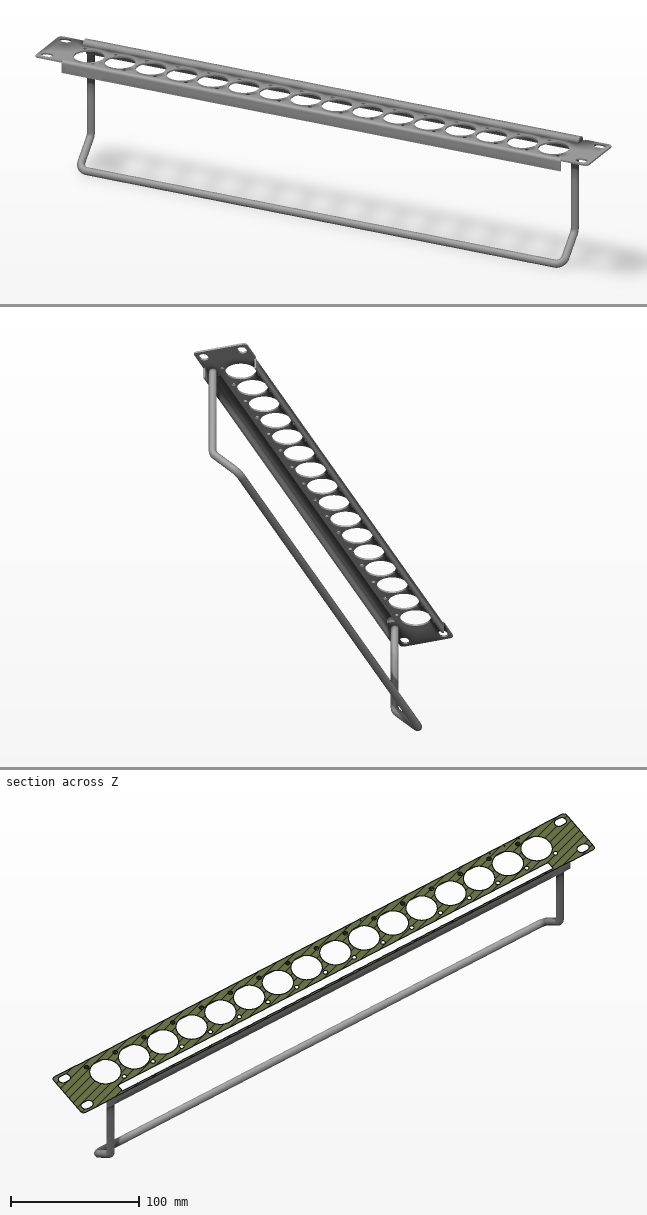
import cadquery as cq
import math

panel_length = 482.5
panel_width = 44.0
sheet = 1.5
corner_radius = 3.0

flange_length = 435.5
flange_depth = 10.0
bend_radius = 2.5

slot_length = 9.5
slot_height = 6.8
slot_spacing_x = 466.0
slot_spacing_y = 32.0

opening_count = 16
opening_pitch = 27.0
opening_diameter = 24
opening_y = -4.0
screw_diameter = 3.2
screw_offset_x = 9.5
screw_offset_y = 12.0

bead_length = 432.5
bead_radius = 4.5
bead_wall = 1.0
solid_end = 14.0

bar_diameter = 6.5
bar_span = 422.5
bar_drop = 101.0
bar_reach = 21.0
bar_bend_radius = 6.8
lean_angle = math.radians(45)

bar_y = 16.5


def make_panel():
    """Flat sheet with rounded corners."""
    return (
        cq.Workplane("XY")
        .rect(panel_length, panel_width)
        .extrude(-sheet)
        .edges("|Z")
        .fillet(corner_radius)
    )


def channel_block(inset, radius):
    """Block with rounded upper edges, set in from the panel's top and sides by the inset."""
    depth = 2 * flange_depth
    return (
        cq.Workplane("YZ")
        .center(0, -inset - depth / 2)
        .rect(panel_width - 2 * inset, depth)
        .extrude(flange_length / 2, both=True)
        .edges("|X and >Z")
        .fillet(radius)
    )


def fold_flanges(panel):
    """Replace the panel's middle stretch by a channel with rounded bends."""
    outer = channel_block(0, bend_radius)
    inner = channel_block(sheet, bend_radius - sheet)
    kept = cq.Workplane("XY").box(panel_length, panel_width, 2 * flange_depth)
    middle = cq.Workplane("XY").box(flange_length, panel_width, 2 * flange_depth)
    return panel.cut(middle).union(outer.cut(inner).intersect(kept))


def half_round(radius, length):
    """Half cylinder standing on the panel's top face, running along X."""
    return (
        cq.Workplane("YZ", origin=(0, bar_y, 0))
        .moveTo(-radius, 0)
        .threePointArc((0, radius), (radius, 0))
        .close()
        .extrude(length / 2, both=True)
    )


def add_bead(part):
    """Half-round bead over the legs, its middle hollowed out through the panel below it."""
    hollow_length = bead_length - 2 * solid_end
    hollow_radius = bead_radius - bead_wall
    hollow = half_round(hollow_radius, hollow_length)
    slot = (
        cq.Workplane("XY")
        .center(0, bar_y)
        .rect(hollow_length, 2 * hollow_radius)
        .extrude(-sheet)
    )
    return part.union(half_round(bead_radius, bead_length)).cut(hollow.union(slot))


def bent_path(corners, radius):
    """Polyline through the corners, each inner corner rounded by a tangent arc."""
    edges = []
    start = corners[0]
    for before, corner, after in zip(corners, corners[1:], corners[2:]):
        back = (before - corner).normalized()
        ahead = (after - corner).normalized()
        half_angle = back.getAngle(ahead) / 2
        setback = radius / math.tan(half_angle)
        arc_start = corner + back * setback
        arc_end = corner + ahead * setback
        bisector = (back + ahead).normalized()
        arc_middle = corner + bisector * (radius / math.sin(half_angle) - radius)
        edges.append(cq.Edge.makeLine(start, arc_start))
        edges.append(cq.Edge.makeThreePointArc(arc_start, arc_middle, arc_end))
        start = arc_end
    edges.append(cq.Edge.makeLine(start, corners[-1]))
    return cq.Wire.assembleEdges(edges)


def make_bar():
    """Round bar hanging from the panel in a U whose lower part leans toward -Y."""
    crossbar_z = bar_diameter / 2 - bar_drop
    crossbar_y = bar_y - bar_reach
    knee_z = crossbar_z + bar_reach / math.tan(lean_angle)
    side_x = bar_span / 2
    corners = [
        cq.Vector(-side_x, bar_y, -sheet),
        cq.Vector(-side_x, bar_y, knee_z),
        cq.Vector(-side_x, crossbar_y, crossbar_z),
        cq.Vector(side_x, crossbar_y, crossbar_z),
        cq.Vector(side_x, bar_y, knee_z),
        cq.Vector(side_x, bar_y, -sheet),
    ]
    path = cq.Workplane("XY").add(bent_path(corners, bar_bend_radius))
    return (
        cq.Workplane("XY", origin=corners[0].toTuple())
        .circle(bar_diameter / 2)
        .sweep(path)
    )


def cut_slots(part):
    """Four rack mounting slots near the panel's corners."""
    return part.cut(
        cq.Workplane("XY")
        .rect(slot_spacing_x, slot_spacing_y, forConstruction=True)
        .vertices()
        .slot2D(slot_length, slot_height)
        .extrude(-sheet)
    )


def cut_openings(part):
    """Connector openings with screw holes at their upper left and lower right."""
    first_x = -opening_pitch * (opening_count - 1) / 2
    centres = [(first_x + i * opening_pitch, opening_y) for i in range(opening_count)]
    screws = []
    for x, y in centres:
        screws.append((x - screw_offset_x, y + screw_offset_y))
        screws.append((x + screw_offset_x, y - screw_offset_y))
    openings = cq.Workplane("XY").pushPoints(centres).circle(opening_diameter / 2).extrude(-sheet)
    screw_holes = cq.Workplane("XY").pushPoints(screws).circle(screw_diameter / 2).extrude(-sheet)
    return part.cut(openings).cut(screw_holes)


panel = cut_openings(cut_slots(fold_flanges(make_panel())))
result = add_bead(panel.union(make_bar()))